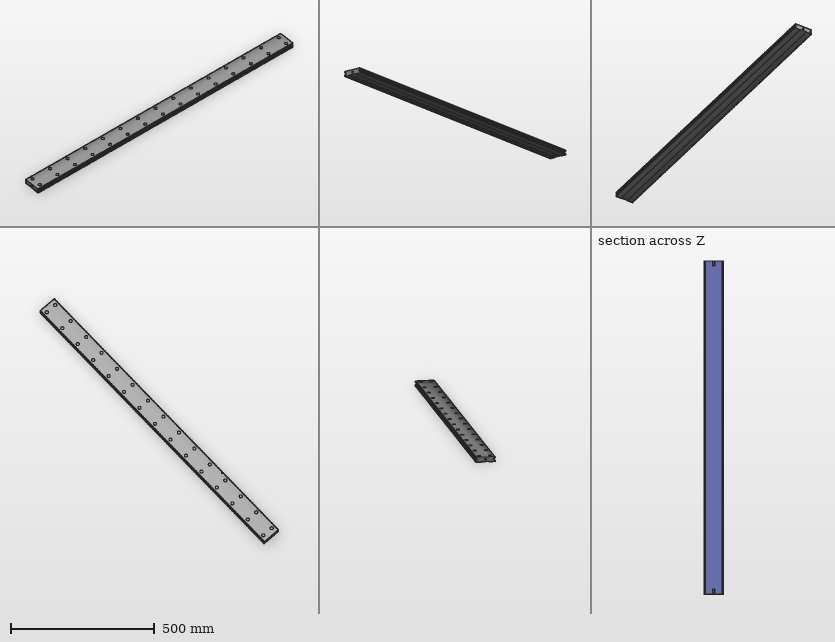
import cadquery as cq

length = 1160.0
width = 68.0
height = 19.0
top_chamfer = 2.2

mouth_height = 11.0
mouth_depth = 2.0
slot_height = 6.0
groove_depth = 5.0

relief_width = 25.0
relief_depth = 1.0

recess_diameter = 11.0
recess_depth = 0.6
recesses_per_row = 15
row_spacing = 40.0
margin_in_pitches = 0.25
recess_pitch = length / (recesses_per_row - 1 + 2 * margin_in_pitches)

end_hole_diameter = 6.0
end_hole_depth = 17.0


def rail_bar():
    bar = cq.Workplane("XY").box(width, length, height)
    return bar.edges("|Y and >Z").chamfer(top_chamfer)


def side_groove(side):
    """Groove along the long face on the given side of X (-1 or 1)."""
    face_x = side * width / 2
    throat_x = side * (width / 2 - mouth_depth)
    floor_x = side * (width / 2 - groove_depth)
    profile = [
        (face_x, -mouth_height / 2),
        (throat_x, -slot_height / 2),
        (floor_x, -slot_height / 2),
        (floor_x, slot_height / 2),
        (throat_x, slot_height / 2),
        (face_x, mouth_height / 2),
    ]
    return cq.Workplane("XZ").polyline(profile).close().extrude(length / 2, both=True)


def underside_relief():
    bottom = cq.Workplane("XY").workplane(offset=-height / 2)
    return bottom.rect(relief_width, length).extrude(relief_depth)


def top_recesses():
    top = cq.Workplane("XY").workplane(offset=height / 2)
    centres = top.rarray(row_spacing, recess_pitch, 2, recesses_per_row)
    return centres.circle(recess_diameter / 2).extrude(-recess_depth)


def end_hole(side):
    """Blind hole entering the end face on the given side of Y (-1 or 1)."""
    mouth = cq.Vector(0, side * length / 2, 0)
    inward = cq.Vector(0, -side, 0)
    return cq.Solid.makeCylinder(end_hole_diameter / 2, end_hole_depth, mouth, inward)


result = rail_bar().cut(underside_relief()).cut(top_recesses())
for side in (-1, 1):
    result = result.cut(side_groove(side)).cut(end_hole(side))